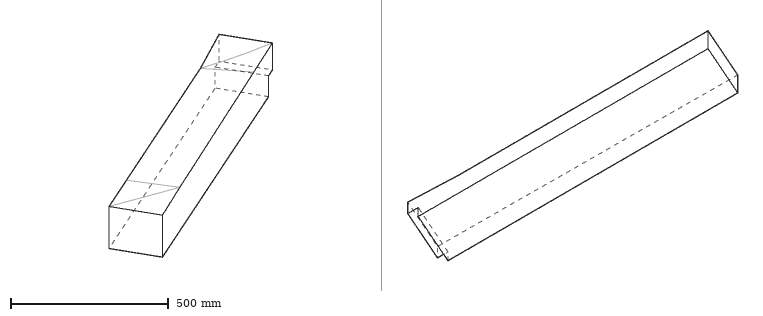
import cadquery as cq

width = 178.0
length = 1121.0
height = 175.0

side_height = 154.0
front_break_y = 177.0
front_break_height = 159.0
ramp_start_y = 930.0

rebate_depth = 39.0
rebate_height = 76.0


def right_edge_height(y):
    """Height of the straight right edge behind the front break."""
    slope = (height - front_break_height) / (length - front_break_y)
    return front_break_height + slope * (y - front_break_y)


def section_points(right_height):
    """Corners of a cross section, level at the left and raised at the right."""
    return [(0, 0), (width, 0), (width, right_height), (0, side_height)]


def side_prism(points):
    """Extrude a (y, z) profile across the full width."""
    return cq.Workplane("YZ").polyline(points).close().extrude(width)


def twisted_block(start_y, end_y):
    """Block whose top is ruled between two differently inclined lines."""
    start = section_points(right_edge_height(start_y))
    end = section_points(right_edge_height(end_y))
    return (
        cq.Workplane("XZ", origin=(0, start_y, 0))
        .polyline(start).close()
        .workplane(offset=start_y - end_y)
        .polyline(end).close()
        .loft(ruled=True)
    )


def front_block():
    """Front end whose top is two flat triangles meeting on a diagonal."""
    sideways_slope = (
        cq.Workplane("XZ")
        .polyline(section_points(front_break_height)).close()
        .extrude(-front_break_y)
    )
    lengthwise_slope = side_prism([
        (0, 0), (front_break_y, 0),
        (front_break_y, front_break_height), (0, side_height),
    ])
    return sideways_slope.intersect(lengthwise_slope)


def back_ramp():
    """Ramp that lifts the top to full height across the back edge."""
    return side_prism([
        (ramp_start_y, 0), (length, 0),
        (length, height), (ramp_start_y, side_height),
    ])


def rebate():
    """Step cut away under the back end, across the full width."""
    return cq.Workplane("XY").box(
        width, rebate_depth, rebate_height, centered=False
    ).translate((0, length - rebate_depth, 0))


back_block = twisted_block(ramp_start_y, length).union(back_ramp())
middle_block = twisted_block(front_break_y, ramp_start_y)
result = front_block().union(middle_block).union(back_block).cut(rebate()).clean()